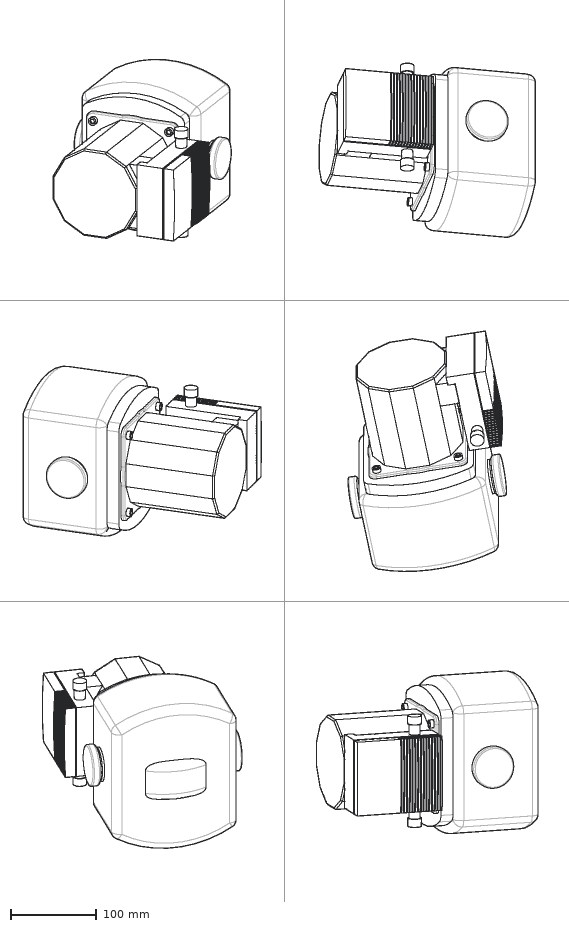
import cadquery as cq
import math


shell_half_width = 75.2
shell_half_height = 183.8 / 2
shell_cap_radius = 136.7
shell_edge_radius = 10.0
shell_back_y = 62.0
shell_front_y = -42.5
step_front_y = -57.4
bulge_radius = 72.0
bulge_half_height = 24.5
bulge_edge_radius = 10.0

pipe_half_length = 90.0
neck_radius = 20.3
collar_radius = 24.7
collar_length = 10.3
collar_outer_round = 1.5
collar_inner_round = 2.7
neck_root_round = 2.0

plate_half_width = 58.5
plate_corner_radius = 9.0
plate_disc_radius = 59.8
plate_front_y = -61.8
plate_edge_radius = 1.7
motor_sides = 12
motor_apothem = 53.7
motor_front_y = -172.0
motor_edge_chamfer = 2.0
motor_corner_radius = motor_apothem / math.cos(math.pi / motor_sides)
bridge_back_y = -131.0
bridge_front_y = -161.0
bridge_half_height = motor_corner_radius * math.sin(math.pi / 4)

screw_offset = 48.5
screw_head_radius = 5.0
screw_head_height = 4.6
socket_across_corners = 6.3
socket_depth = 2.5

module_half_height = 44.2
module_back_y = -67.4
module_inner_x = 62.2
module_edge_x = 100.3
module_crown_x = 101.8
seam_x = 87.1
groove_width = 1.0
groove_depth = 1.0
rib_groove_count = 15
rib_groove_pitch = 3.45
first_rib_groove_y = module_back_y - 2.2
gland_x = 76.5
gland_y = -93.5
gland_shaft_radius = 6.5
gland_head_radius = 8.0
gland_head_start_z = 56.5
gland_head_end_z = 66.1


def block(x_range, y_range, z_range):
    """Box between two limits on each axis."""
    size = [abs(limits[1] - limits[0]) for limits in (x_range, y_range, z_range)]
    corner = (min(x_range), min(y_range), min(z_range))
    return cq.Workplane("XY").box(*size, centered=False).translate(corner)


def plane_at_y(y):
    """Workplane facing -Y, with local axes along +X and +Z."""
    return cq.Workplane("XZ", origin=(0, y, 0))


def barrel_prism(inset, back_y, front_y):
    """Prism with flat sides and arched top and bottom, its outline moved inward by the inset."""
    half_width = shell_half_width - inset
    crown_z = shell_half_height - inset
    cap_radius = shell_cap_radius - inset
    corner_z = crown_z - cap_radius + math.sqrt(cap_radius**2 - half_width**2)
    return (
        plane_at_y(back_y)
        .moveTo(-half_width, -corner_z)
        .lineTo(-half_width, corner_z)
        .threePointArc((0, crown_z), (half_width, corner_z))
        .lineTo(half_width, -corner_z)
        .threePointArc((0, -crown_z), (-half_width, -corner_z))
        .close()
        .extrude(back_y - front_y)
        .edges("|Y")
        .fillet(shell_edge_radius)
    )


def make_shell():
    body = barrel_prism(0, shell_back_y, shell_front_y).faces("<Y or >Y").edges().fillet(shell_edge_radius)
    step = barrel_prism(shell_edge_radius, 0, step_front_y)
    bulge = (
        cq.Workplane("XY", origin=(0, 0, -bulge_half_height))
        .circle(bulge_radius)
        .extrude(2 * bulge_half_height)
        .edges()
        .fillet(bulge_edge_radius)
    )
    rear_half = block(
        (-bulge_radius, bulge_radius),
        (0, bulge_radius),
        (-bulge_half_height, bulge_half_height),
    )
    bulge = bulge.intersect(rear_half)
    pipe_hole = cq.Workplane("YZ").circle(neck_radius).extrude(shell_half_width, both=True)
    return body.union(step).union(bulge).cut(pipe_hole)


def make_pipe():
    collar_inner_x = pipe_half_length - collar_length
    pipe = cq.Workplane("YZ").circle(neck_radius).extrude(pipe_half_length, both=True)
    for side in (-1, 1):
        collar = (
            cq.Workplane("YZ", origin=(side * collar_inner_x, 0, 0))
            .circle(collar_radius)
            .extrude(side * collar_length)
        )
        outer_face, inner_face = ("<X", ">X") if side < 0 else (">X", "<X")
        collar = collar.faces(outer_face).edges().fillet(collar_outer_round)
        collar = collar.faces(inner_face).edges().fillet(collar_inner_round)
        root_cone = cq.Workplane(
            cq.Solid.makeCone(
                neck_radius + neck_root_round,
                neck_radius,
                neck_root_round,
                pnt=cq.Vector(side * collar_inner_x, 0, 0),
                dir=cq.Vector(-side, 0, 0),
            )
        )
        pipe = pipe.union(collar).union(root_cone)
    return pipe


def make_motor():
    plate_thickness = step_front_y - plate_front_y
    plate = (
        plane_at_y(step_front_y)
        .rect(2 * plate_half_width, 2 * plate_half_width)
        .extrude(plate_thickness)
        .edges("|Y")
        .fillet(plate_corner_radius)
    )
    disc = plane_at_y(step_front_y).circle(plate_disc_radius).extrude(plate_thickness)
    plate = plate.union(disc).faces("<Y").edges().fillet(plate_edge_radius)
    half_side_angle = 180 / motor_sides
    barrel = (
        plane_at_y(step_front_y)
        .transformed(rotate=(0, 0, half_side_angle))
        .polygon(motor_sides, 2 * motor_corner_radius)
        .extrude(step_front_y - motor_front_y)
        .faces("<Y")
        .chamfer(motor_edge_chamfer)
    )
    bridge = block(
        (0, module_inner_x),
        (bridge_back_y, bridge_front_y),
        (-bridge_half_height, bridge_half_height),
    )
    return plate.union(barrel).union(bridge)


def make_screw(x, z):
    """Socket screw head resting on the front of the mounting plate."""
    return (
        cq.Workplane("XZ", origin=(x, plate_front_y, z))
        .circle(screw_head_radius)
        .extrude(screw_head_height)
        .faces("<Y")
        .workplane()
        .polygon(6, socket_across_corners)
        .cutBlind(-socket_depth)
    )


def module_outline(inset):
    """Module prism with a gently crowned outer face, top, bottom and outer face moved inward by the inset."""
    half_height = module_half_height - inset
    return (
        plane_at_y(module_back_y)
        .moveTo(module_inner_x, -half_height)
        .lineTo(module_edge_x - inset, -half_height)
        .threePointArc((module_crown_x - inset, 0), (module_edge_x - inset, half_height))
        .lineTo(module_inner_x, half_height)
        .close()
        .extrude(module_back_y - motor_front_y)
    )


def make_seam_groove():
    """Shallow groove around the module, between its base and its lid."""
    x_range = (seam_x - groove_width / 2, seam_x + groove_width / 2)
    core_half_height = module_half_height - groove_depth
    ring = block(x_range, (module_back_y, motor_front_y), (-module_half_height, module_half_height))
    core = block(
        x_range,
        (module_back_y - groove_depth, motor_front_y + groove_depth),
        (-core_half_height, core_half_height),
    )
    return ring.cut(core)


def make_gland(side):
    """Cable gland on the top (side 1) or the bottom (side -1) of the module."""
    shaft_start = cq.Workplane("XY", origin=(gland_x, gland_y, side * module_half_height))
    head_start = cq.Workplane("XY", origin=(gland_x, gland_y, side * gland_head_start_z))
    shaft = shaft_start.circle(gland_shaft_radius).extrude(side * (gland_head_start_z - module_half_height))
    head = head_start.circle(gland_head_radius).extrude(side * (gland_head_end_z - gland_head_start_z))
    return shaft.union(head)


def make_module():
    z_range = (-module_half_height, module_half_height)
    lip = block((motor_apothem, module_inner_x), (bridge_front_y, motor_front_y), z_range)
    module = module_outline(0).union(lip).cut(make_seam_groove())
    groove_skin = module_outline(0).cut(module_outline(groove_depth))
    for index in range(rib_groove_count):
        center_y = first_rib_groove_y - index * rib_groove_pitch
        slice_block = block(
            (seam_x, module_crown_x),
            (center_y - groove_width / 2, center_y + groove_width / 2),
            z_range,
        )
        module = module.cut(groove_skin.intersect(slice_block))
    for side in (-1, 1):
        module = module.union(make_gland(side))
    return module


shell = make_shell()
pipe = make_pipe()
motor = make_motor()
module = make_module()
screws = [
    make_screw(x, z)
    for x in (-screw_offset, screw_offset)
    for z in (-screw_offset, screw_offset)
]

result = cq.Compound.makeCompound(
    [shell.val(), pipe.val(), motor.val(), module.val(), *[screw.val() for screw in screws]]
)